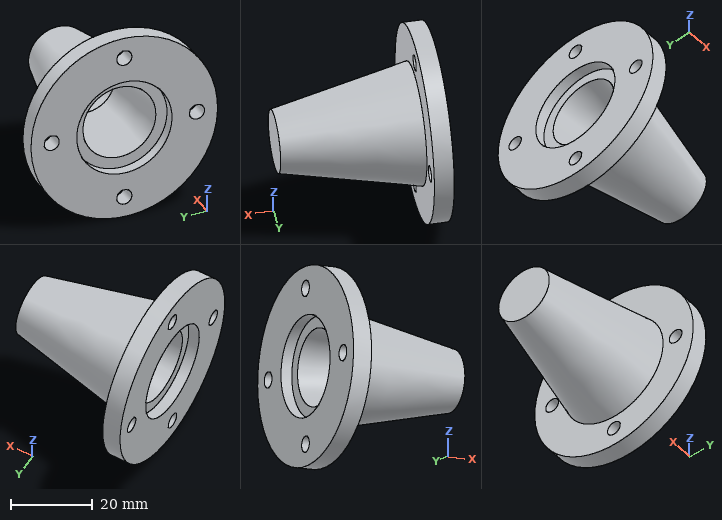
import cadquery as cq

flange_diameter = 50.0
flange_thickness = 5.0

total_length = 40.0
nose_base_diameter = 31.0
nose_tip_diameter = 16.0

bolt_count = 4
bolt_diameter = 4.0
bolt_circle_diameter = 38.9

recess_diameter = 25.5
recess_depth = 3.0
bore_mouth_diameter = 19.5
bore_end_diameter = 15.0
bore_length = 20.0
point_length = 15.0


def revolve_about_x(profile):
    """Turn a closed (x, radius) outline about the X axis."""
    return cq.Workplane("XZ").polyline(profile).close().revolve(360, (0, 0, 0), (1, 0, 0))


def make_body():
    return revolve_about_x([
        (0, 0),
        (0, flange_diameter / 2),
        (flange_thickness, flange_diameter / 2),
        (flange_thickness, nose_base_diameter / 2),
        (total_length, nose_tip_diameter / 2),
        (total_length, 0),
    ])


def make_cavity():
    bore_end_x = recess_depth + bore_length
    return revolve_about_x([
        (0, 0),
        (0, recess_diameter / 2),
        (recess_depth, recess_diameter / 2),
        (recess_depth, bore_mouth_diameter / 2),
        (bore_end_x, bore_end_diameter / 2),
        (bore_end_x + point_length, 0),
    ])


def make_bolt_holes():
    return (
        cq.Workplane("YZ")
        .polarArray(bolt_circle_diameter / 2, 0, 360, bolt_count)
        .circle(bolt_diameter / 2)
        .extrude(flange_thickness)
    )


result = make_body().cut(make_cavity()).cut(make_bolt_holes())